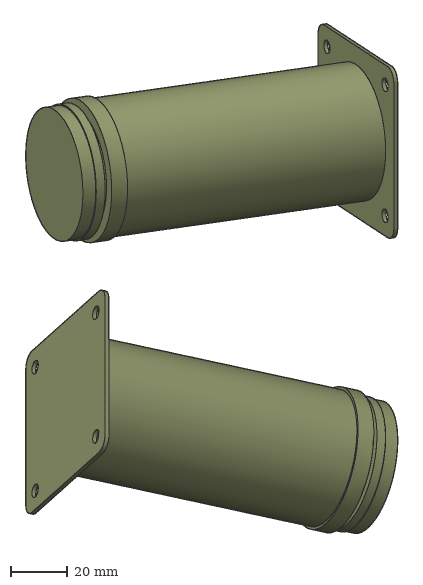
import cadquery as cq

total_length = 120.0
flange_side = 64.0
flange_thickness = 1.5
flange_corner_radius = 5.0
hole_spacing = 49.0
hole_diameter = 4.9

tube_diameter = 50.0
collar_diameter = 52.0
groove_diameter = 43.2
cap_diameter = 49.2
cap_end_diameter = 48.2

cap_end_length = 5.0
cap_length = 8.5
collar_front = 10.5
collar_length = 6.2
collar_back = collar_front + collar_length


def make_flange():
    """Square plate with rounded corners and four holes, its back on Y = total_length."""
    return (
        cq.Workplane("XZ", origin=(0, total_length, 0))
        .rect(flange_side, flange_side)
        .extrude(flange_thickness)
        .edges("|Y")
        .fillet(flange_corner_radius)
        .faces("<Y")
        .workplane(centerOption="CenterOfBoundBox")
        .rect(hole_spacing, hole_spacing, forConstruction=True)
        .vertices()
        .hole(hole_diameter)
    )


def make_body():
    """Solid of revolution about Y: stepped cap, groove, collar and tube."""
    profile = [
        (0, 0),
        (cap_end_diameter / 2, 0),
        (cap_end_diameter / 2, cap_end_length),
        (cap_diameter / 2, cap_end_length),
        (cap_diameter / 2, cap_length),
        (groove_diameter / 2, cap_length),
        (groove_diameter / 2, collar_front),
        (collar_diameter / 2, collar_front),
        (collar_diameter / 2, collar_back),
        (tube_diameter / 2, collar_back),
        (tube_diameter / 2, total_length),
        (0, total_length),
    ]
    return cq.Workplane("XY").polyline(profile).close().revolve(360, (0, 0, 0), (0, 1, 0))


result = make_flange().union(make_body())